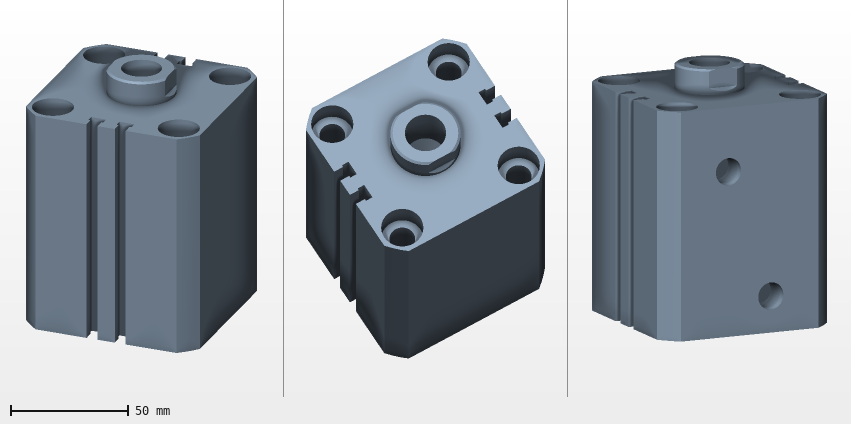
import cadquery as cq
import math

housing_width = 80.0
overall_height = 111.0
rod_projection = 11.0
housing_height = overall_height - rod_projection
corner_round_radius = 51.5

mount_spacing = 57.9
mount_diameter = 11.0
counterbore_diameter = 18.0
counterbore_depth = 10.5

slot_spacing = 13.0
slot_neck_width = 5.0
slot_head_width = 6.9
slot_neck_depth = 4.4
slot_total_depth = 7.7

port_diameter = 11.9
port_taper = 1 / 16
port_depth = 12.0
port_offset = 10.0
upper_port_height = housing_height - 28.0
lower_port_height = 16.0

rod_diameter = 30.0
rod_insertion = 40.0
rod_length = rod_projection + rod_insertion
rod_chamfer_height = 0.8
rod_chamfer_width = 1.0
flat_width = 27.0
flat_length = 8.1
flat_runout_angle = 45.0

bore_diameter = 17.5
bore_depth = 22.0
drill_tip_angle = 118.0


def make_t_slot():
    """T-slot cutter for the +Y side, centred on X = 0."""
    side = housing_width / 2
    neck = cq.Workplane("XY").box(
        slot_neck_width, slot_total_depth, housing_height, centered=(True, False, False)
    )
    head = cq.Workplane("XY").box(
        slot_head_width, slot_total_depth - slot_neck_depth, housing_height, centered=(True, False, False)
    )
    return neck.union(head).translate((0, side - slot_total_depth, 0))


def make_port(y, z):
    """Conical port cutter that narrows inward from the -X face."""
    inner_diameter = port_diameter - port_taper * port_depth
    cone = cq.Solid.makeCone(
        port_diameter / 2,
        inner_diameter / 2,
        port_depth,
        pnt=cq.Vector(-housing_width / 2, y, z),
        dir=cq.Vector(1, 0, 0),
    )
    return cq.Workplane("XY").add(cone)


def make_housing():
    body = cq.Workplane("XY").box(
        housing_width, housing_width, housing_height, centered=(True, True, False)
    )
    body = body.intersect(cq.Workplane("XY").circle(corner_round_radius).extrude(housing_height))

    body = (
        body.faces(">Z")
        .workplane(origin=(0, 0, housing_height))
        .rect(mount_spacing, mount_spacing, forConstruction=True)
        .vertices()
        .cboreHole(mount_diameter, counterbore_diameter, counterbore_depth)
    )

    for x in (-slot_spacing / 2, slot_spacing / 2):
        slot = make_t_slot().translate((x, 0, 0))
        body = body.cut(slot).cut(slot.mirror("XZ"))

    body = body.cut(make_port(port_offset, upper_port_height))
    body = body.cut(make_port(-port_offset, lower_port_height))

    recess = (
        cq.Workplane("XY", origin=(0, 0, housing_height - rod_insertion))
        .circle(rod_diameter / 2)
        .extrude(rod_insertion)
    )
    return body.cut(recess)


def make_flat_cutter():
    """Cutter for the +X wrench flat, with a sloped run-out at its lower end."""
    flat_x = flat_width / 2
    rod_radius = rod_diameter / 2
    flat_bottom = overall_height - flat_length
    runout_drop = (rod_radius - flat_x) * math.tan(math.radians(flat_runout_angle))
    return (
        cq.Workplane("XZ")
        .moveTo(flat_x, overall_height)
        .lineTo(flat_x, flat_bottom)
        .lineTo(rod_radius, flat_bottom - runout_drop)
        .lineTo(rod_radius, overall_height)
        .close()
        .extrude(rod_radius, both=True)
    )


def make_rod():
    rod = (
        cq.Workplane("XY", origin=(0, 0, overall_height - rod_length))
        .circle(rod_diameter / 2)
        .extrude(rod_length)
    )
    rod = rod.faces(">Z").chamfer(rod_chamfer_height, rod_chamfer_width)

    flat_cutter = make_flat_cutter()
    rod = rod.cut(flat_cutter).cut(flat_cutter.mirror("YZ"))

    bore_radius = bore_diameter / 2
    bore_bottom = overall_height - bore_depth
    tip_length = bore_radius / math.tan(math.radians(drill_tip_angle / 2))
    bore = (
        cq.Workplane("XZ")
        .moveTo(0, overall_height)
        .lineTo(bore_radius, overall_height)
        .lineTo(bore_radius, bore_bottom)
        .lineTo(0, bore_bottom - tip_length)
        .close()
        .revolve(360, (0, 0, 0), (0, 1, 0))
    )
    return rod.cut(bore)


housing = make_housing()
rod = make_rod()

result = cq.Compound.makeCompound([housing.val(), rod.val()])